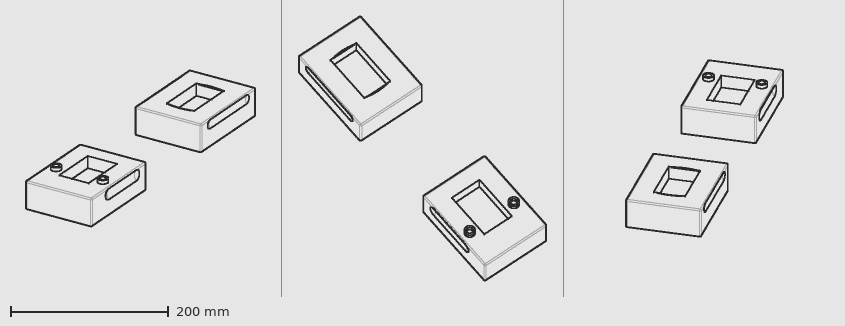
import cadquery as cq
import math

width = 99.0
length = 130.0
height = 40.0
overall_length = 390.0
edge_radius = 2.0
groove_diameter = 22.0
center_y = (overall_length - length) / 2

plain_pocket_width = 41.5
plain_pocket_length = 71.0
plain_pocket_depth = 17.5
plain_pocket_offset = 0.0
notch_width = 34.5
notch_reach = 2.0
notch_depth = 1.0
plain_groove_straight = 86.0
plain_groove_axis_gap = 9.0
plain_groove_drop = 8.0
plain_groove_offset = 0.0

bossed_pocket_width = 44.0
bossed_pocket_length = 68.0
bossed_pocket_depth = 17.0
bossed_pocket_offset = 6.0
bossed_groove_straight = 65.0
bossed_groove_axis_gap = 7.8
bossed_groove_drop = 10.0
bossed_groove_offset = 9.0
boss_diameter = 14.0
boss_bore = 8.5
boss_height = 5.0
boss_spacing = 70.2
boss_offset = -15.0


def block():
    """Rounded block centered in plan, standing on Z = 0."""
    return (
        cq.Workplane("XY")
        .box(width, length, height, centered=(True, True, False))
        .edges()
        .fillet(edge_radius)
    )


def pocket(pocket_width, pocket_length, depth, offset):
    """Rectangular cutter sunk from the top face."""
    return (
        cq.Workplane("XY", origin=(0, offset, height))
        .rect(pocket_width, pocket_length)
        .extrude(-depth)
    )


def end_notches():
    """Shallow cutter that bows both ends of the plain pocket mouth outward."""
    half_width = notch_width / 2
    end = plain_pocket_length / 2
    return (
        cq.Workplane("XY", origin=(0, plain_pocket_offset, height))
        .moveTo(-half_width, -end)
        .threePointArc((0, -end - notch_reach), (half_width, -end))
        .lineTo(half_width, end)
        .threePointArc((0, end + notch_reach), (-half_width, end))
        .close()
        .extrude(-notch_depth)
    )


def grip_groove(side, straight, axis_gap, drop, offset):
    """Round-bottomed groove cutter with ball ends, its axis just outside one X face."""
    radius = groove_diameter / 2
    half_straight = straight / 2
    half_end = half_straight + radius
    bulge = radius * math.sqrt(0.5)
    return (
        cq.Workplane("XY")
        .moveTo(0, -half_end)
        .threePointArc((bulge, -half_straight - bulge), (radius, -half_straight))
        .lineTo(radius, half_straight)
        .threePointArc((bulge, half_straight + bulge), (0, half_end))
        .close()
        .revolve(360, (0, 0, 0), (0, 1, 0))
        .translate((side * (width / 2 + axis_gap), offset, height - drop))
    )


def make_plain_block():
    body = block().cut(
        pocket(plain_pocket_width, plain_pocket_length, plain_pocket_depth, plain_pocket_offset)
    )
    body = body.cut(end_notches())
    for side in (-1, 1):
        body = body.cut(
            grip_groove(
                side,
                plain_groove_straight,
                plain_groove_axis_gap,
                plain_groove_drop,
                plain_groove_offset,
            )
        )
    return body.translate((0, center_y, 0))


def make_bossed_block():
    body = block().cut(
        pocket(bossed_pocket_width, bossed_pocket_length, bossed_pocket_depth, bossed_pocket_offset)
    )
    for side in (-1, 1):
        body = body.cut(
            grip_groove(
                side,
                bossed_groove_straight,
                bossed_groove_axis_gap,
                bossed_groove_drop,
                bossed_groove_offset,
            )
        )
    boss_places = [(side * boss_spacing / 2, boss_offset) for side in (-1, 1)]
    bosses = (
        cq.Workplane("XY", origin=(0, 0, height))
        .pushPoints(boss_places)
        .circle(boss_diameter / 2)
        .circle(boss_bore / 2)
        .extrude(boss_height)
    )
    return body.union(bosses).translate((0, -center_y, 0))


plain_block = make_plain_block()
bossed_block = make_bossed_block()

result = cq.Compound.makeCompound([plain_block.val(), bossed_block.val()])